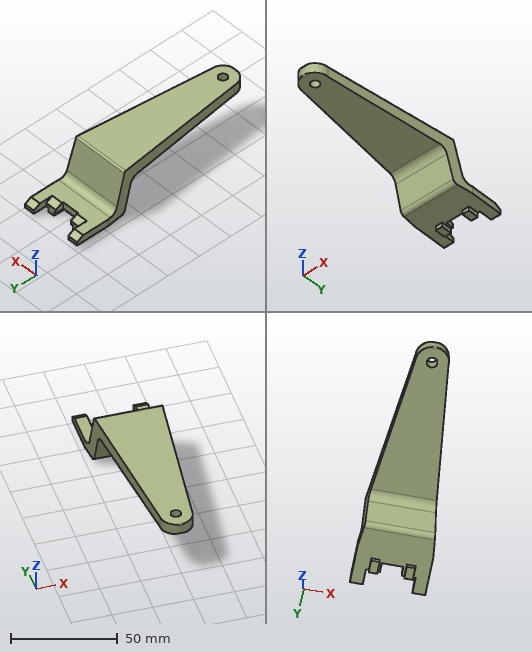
import cadquery as cq

length = 118.0
width = 36.0
height = 26.4

plate_thickness = 4.2
finger_width = 6.1
shoulder_y = -7.9
notch_floor_y = -12.5
notch_width = 10.3
nose_height = 2.1
bevel_length = 3.9
taper_start_y = -20.1

lug_width = 4.1
lug_length = 6.3
lug_depth = 2.6
lug_spacing = 17.0

web_upper_foot_y = -25.1
web_upper_head_y = -31.6
web_lower_foot_y = -31.4
web_lower_head_y = -36.9
arm_root_thickness = 7.4
arm_tip_thickness = 5.9
inner_bend_radius = 5.0
foot_radius = 2.8
top_edge_radius = 1.2
tip_edge_radius = 0.7

tip_half_width = 7.9
tip_arc_height = 8.1
hole_diameter = 5.0
tip_arc_y = tip_arc_height - length


def side_profile():
    """Z-shaped bracket, extruded across the full width."""
    profile = (
        cq.Workplane("YZ")
        .moveTo(0, 0)
        .lineTo(0, plate_thickness)
        .lineTo(web_upper_foot_y, plate_thickness)
        .lineTo(web_upper_head_y, height)
        .lineTo(-length, height)
        .lineTo(-length, height - arm_tip_thickness)
        .lineTo(web_lower_head_y, height - arm_root_thickness)
        .lineTo(web_lower_foot_y, 0)
        .close()
        .extrude(width / 2, both=True)
    )
    bends = [
        (web_upper_foot_y, plate_thickness, inner_bend_radius),
        (web_upper_head_y, height, top_edge_radius),
        (web_lower_head_y, height - arm_root_thickness, inner_bend_radius),
        (web_lower_foot_y, 0, foot_radius),
        (-length, height, tip_edge_radius),
        (-length, height - arm_tip_thickness, tip_edge_radius),
    ]
    for y, z, radius in bends:
        edge = cq.selectors.NearestToPointSelector((0, y, z))
        profile = profile.edges("|X").edges(edge).fillet(radius)
    return profile


def plan_outline():
    """Stepped fork tapering to a rounded tip."""
    half_width = width / 2
    finger_x = half_width - finger_width
    half_notch = notch_width / 2
    return (
        cq.Workplane("XY")
        .moveTo(half_width, 0)
        .lineTo(half_width, taper_start_y)
        .lineTo(tip_half_width, tip_arc_y)
        .threePointArc((0, -length), (-tip_half_width, tip_arc_y))
        .lineTo(-half_width, taper_start_y)
        .lineTo(-half_width, 0)
        .lineTo(-finger_x, 0)
        .lineTo(-finger_x, shoulder_y)
        .lineTo(-half_notch, shoulder_y)
        .lineTo(-half_notch, notch_floor_y)
        .lineTo(half_notch, notch_floor_y)
        .lineTo(half_notch, shoulder_y)
        .lineTo(finger_x, shoulder_y)
        .lineTo(finger_x, 0)
        .close()
        .extrude(height)
    )


def bevel_cutter(front_y, cutter_width):
    """Wedge that bevels the upper edge of a face at front_y, centred on X = 0."""
    return (
        cq.Workplane("YZ")
        .moveTo(front_y, nose_height)
        .lineTo(front_y, plate_thickness)
        .lineTo(front_y - bevel_length, plate_thickness)
        .close()
        .extrude(cutter_width / 2, both=True)
    )


def lug(x):
    """Rectangular lug below the plate, flush with the shoulder face."""
    return (
        cq.Workplane("XY")
        .center(x, shoulder_y - lug_length / 2)
        .rect(lug_width, lug_length)
        .extrude(-lug_depth)
    )


result = side_profile().intersect(plan_outline())

result = result.cut(bevel_cutter(0, width))
result = result.cut(bevel_cutter(shoulder_y, width - 2 * finger_width))

for side in (-1, 1):
    result = result.union(lug(side * lug_spacing / 2))

hole = cq.Workplane("XY").center(0, tip_arc_y).circle(hole_diameter / 2).extrude(height)
result = result.cut(hole)